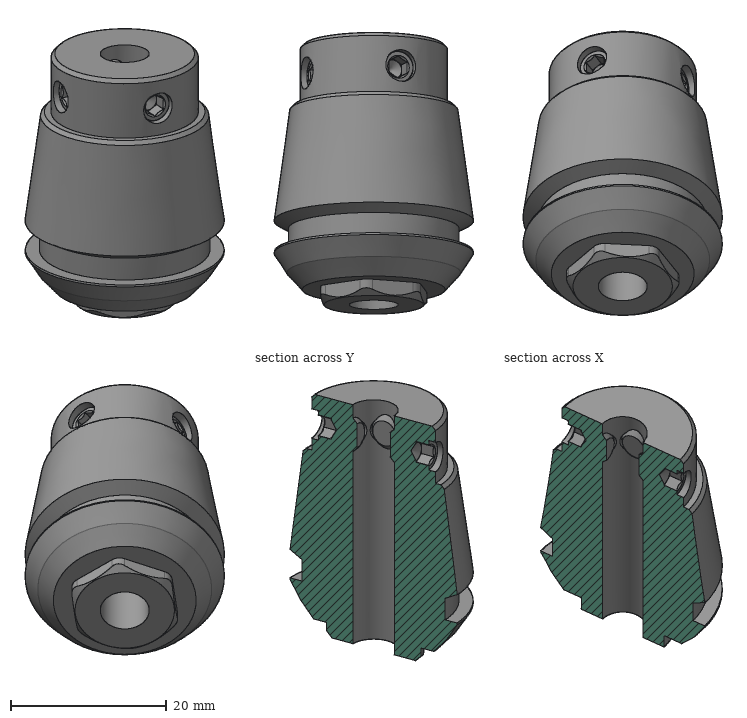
import cadquery as cq
import math

total_height = 34.0
hex_height = 2.0
flange_break_z = 4.2
flange_rim_z = 6.75
flange_top_z = 7.0
neck_top_z = 10.0
sleeve_widest_z = 11.0
sleeve_top_z = 26.0

head_radius = 19.0 / 2
head_chamfer = 0.5
sleeve_top_radius = 21.7 / 2
sleeve_chamfer = 0.5
sleeve_widest_radius = 25.7 / 2
neck_radius = 22.0 / 2
flange_rim_radius = 25.7 / 2
flange_top_radius = 25.6 / 2
flange_break_radius = 22.4 / 2
flange_bottom_radius = 18.4 / 2

hex_across_flats = 13.0
hex_corner_rounding = 1.6
hex_blank_radius = 14.6 / 2
hex_chamfer = 0.9

bore_diameter = 6.3
screw_count = 4
screw_depth_below_top = 4.3
screw_z = total_height - screw_depth_below_top
screw_hole_diameter = 4.13
screw_diameter = 5.0
screw_face_diameter = 4.0
screw_tip_diameter = 3.5
screw_face_distance = 8.5
screw_protrusion = 0.65
screw_tip_distance = bore_diameter / 2 - screw_protrusion
socket_across_flats = 2.5
socket_mouth_diameter = 3.0
socket_depth = 2.0
socket_cone_depth = 0.75


def turned_body():
    """Head, tapered sleeve, neck and double-taper flange as one revolved profile."""
    profile = [
        (0, hex_height),
        (flange_bottom_radius, hex_height),
        (flange_break_radius, flange_break_z),
        (flange_rim_radius, flange_rim_z),
        (flange_top_radius, flange_top_z),
        (neck_radius, flange_top_z),
        (neck_radius, neck_top_z),
        (sleeve_widest_radius, sleeve_widest_z),
        (sleeve_top_radius, sleeve_top_z - sleeve_chamfer),
        (sleeve_top_radius - sleeve_chamfer, sleeve_top_z),
        (head_radius, sleeve_top_z),
        (head_radius, total_height - head_chamfer),
        (head_radius - head_chamfer, total_height),
        (0, total_height),
    ]
    return cq.Workplane("XZ").polyline(profile).close().revolve(360, (0, 0), (0, 1))


def hex_boss():
    """Hexagon with rounded corners on X, its lower end turned to a bevel."""
    across_corners = hex_across_flats / math.cos(math.pi / 6)
    hexagon = cq.Workplane("XY").polygon(6, across_corners).extrude(hex_height)
    hexagon = hexagon.edges("|Z").fillet(hex_corner_rounding)
    blank = cq.Workplane("XY").circle(hex_blank_radius).extrude(hex_height)
    return hexagon.intersect(blank.faces("<Z").chamfer(hex_chamfer))


def revolve_about_x(profile):
    """Turn a closed (x, radius) profile about the X axis."""
    return cq.Workplane("XZ").polyline(profile).close().revolve(360, (0, 0), (1, 0))


def screw_blank():
    """Screw body along +X, beveled at 45 degrees at the tip and at the outer face."""
    radius = screw_diameter / 2
    tip_radius = screw_tip_diameter / 2
    face_radius = screw_face_diameter / 2
    return revolve_about_x([
        (screw_tip_distance, 0),
        (screw_tip_distance, tip_radius),
        (screw_tip_distance + radius - tip_radius, radius),
        (screw_face_distance - (radius - face_radius), radius),
        (screw_face_distance, face_radius),
        (screw_face_distance, 0),
    ])


def screw_socket():
    """Hex socket with corners up and down, a beveled mouth and a conical bottom."""
    floor = screw_face_distance - socket_depth
    flat_radius = socket_across_flats / 2
    mouth_radius = socket_mouth_diameter / 2
    across_corners = socket_across_flats / math.cos(math.pi / 6)
    hexagon = (
        cq.Workplane("YZ", origin=(floor, 0, 0))
        .transformed(rotate=(0, 0, 90))
        .polygon(6, across_corners)
        .extrude(socket_depth)
    )
    mouth = revolve_about_x([
        (screw_face_distance - mouth_radius, 0),
        (screw_face_distance, mouth_radius),
        (screw_face_distance, 0),
    ])
    drill_point = revolve_about_x([
        (floor - socket_cone_depth, 0),
        (floor, flat_radius),
        (floor, 0),
    ])
    return hexagon.union(mouth).union(drill_point)


def screw():
    """Complete socket screw along +X at its height in the head."""
    return screw_blank().cut(screw_socket()).translate((0, 0, screw_z))


def screw_clearance():
    """Space of the screw, opened outward along +X by the smaller threaded hole."""
    hole = (
        cq.Workplane("YZ")
        .center(0, screw_z)
        .circle(screw_hole_diameter / 2)
        .extrude(head_radius)
    )
    return hole.union(screw_blank().translate((0, 0, screw_z)))


def central_bore():
    """Round bore through the whole height."""
    return cq.Workplane("XY").circle(bore_diameter / 2).extrude(total_height)


result = turned_body().union(hex_boss()).cut(central_bore())
for index in range(screw_count):
    angle = index * 360 / screw_count
    result = result.cut(screw_clearance().rotate((0, 0, 0), (0, 0, 1), angle))
    result = result.union(screw().rotate((0, 0, 0), (0, 0, 1), angle))